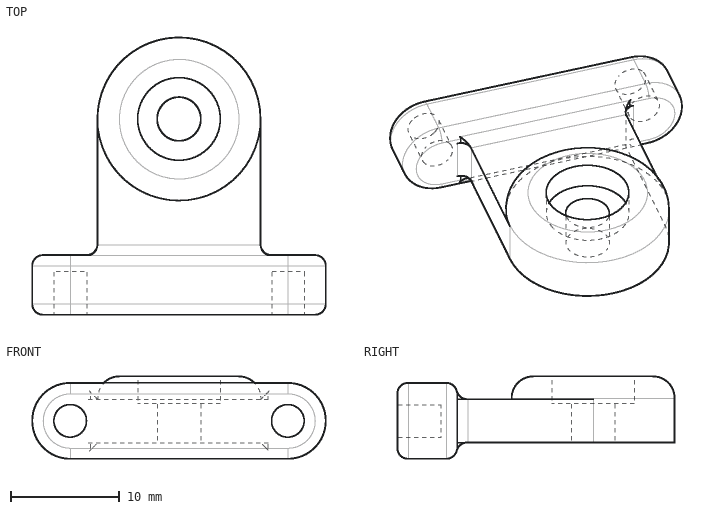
import cadquery as cq
import math

bar_length = 27.0
bar_height = 7.0
bar_depth = 5.5
bar_edge_radius = 1.0
pin_hole_diameter = 3.0
pin_hole_depth = 4.0
pin_hole_spacing = bar_length - bar_height

arm_thickness = 4.0
arm_bottom = (bar_height - arm_thickness) / 2
arm_root_radius = 1.0
arm_overlap = bar_depth / 2

boss_diameter = 15.0
boss_height = 6.1
boss_edge_radius = 2.0
boss_center_y = 18.0
screw_hole_diameter = 4.0
counterbore_diameter = 7.6
counterbore_depth = 2.5

selection_margin = 0.5


def make_bar():
    """Rounded-end bar with both rims rounded."""
    bar = (
        cq.Workplane("XZ", origin=(0, 0, bar_height / 2))
        .slot2D(bar_length, bar_height)
        .extrude(-bar_depth)
    )
    return bar.faces("<Y or >Y").edges().fillet(bar_edge_radius)


def make_arm():
    """Plate as wide as the boss, running from inside the bar to the boss axis."""
    return (
        cq.Workplane("XY")
        .box(boss_diameter, boss_center_y - arm_overlap, arm_thickness, centered=(True, False, False))
        .translate((0, arm_overlap, arm_bottom))
    )


def root_edges_at(root_y):
    """Selector for the edges where the arm meets an upright plane at root_y."""
    half_width = boss_diameter / 2 + selection_margin
    return cq.selectors.BoxSelector(
        (-half_width, root_y - selection_margin, arm_bottom - selection_margin),
        (half_width, root_y + selection_margin, arm_bottom + arm_thickness + selection_margin),
    )


def blend_arm_sides(body):
    """Round the two upright inside corners between the arm and the bar's back face."""
    return body.edges(root_edges_at(bar_depth)).edges("|Z").fillet(arm_root_radius)


def make_root_collar():
    """Blend around the arm root whose upper and lower arcs run tangent into the bar's rounded rim.

    The arc centre lies outside the rim by the sum of both radii, which fixes its Y position.
    """
    rim_center_y = bar_depth - bar_edge_radius
    rim_center_z = bar_height - bar_edge_radius
    arc_center_z = arm_bottom + arm_thickness + arm_root_radius
    center_distance = bar_edge_radius + arm_root_radius
    center_rise = arc_center_z - rim_center_z
    arc_center_y = rim_center_y + math.sqrt(center_distance**2 - center_rise**2)
    foot_y = arc_center_y - arm_root_radius
    contact_z = rim_center_z + center_rise * bar_edge_radius / center_distance

    pad = (
        cq.Workplane("XY")
        .box(bar_length, foot_y - arm_overlap, bar_height, centered=(True, False, False))
        .translate((0, arm_overlap, 0))
    )
    collar = pad.union(make_arm()).edges(root_edges_at(foot_y)).fillet(arm_root_radius)

    keep_width = boss_diameter + 2 * arm_root_radius
    keep_height = 2 * contact_z - bar_height
    keep_zone = (
        cq.Workplane("XY")
        .box(keep_width, boss_center_y, keep_height, centered=(True, False, True))
        .translate((0, arm_overlap, bar_height / 2))
    )
    return collar.intersect(keep_zone)


def make_boss():
    """Round head standing on the underside level of the arm, with a rounded top rim."""
    return (
        cq.Workplane("XY", origin=(0, boss_center_y, arm_bottom))
        .circle(boss_diameter / 2)
        .extrude(boss_height)
        .faces(">Z")
        .edges()
        .fillet(boss_edge_radius)
    )


def cut_screw_hole(body):
    """Through hole on the boss axis, counterbored from the top."""
    boss_top = arm_bottom + boss_height
    return (
        body.copyWorkplane(cq.Workplane("XY", origin=(0, boss_center_y, boss_top)))
        .cboreHole(screw_hole_diameter, counterbore_diameter, counterbore_depth)
    )


def cut_pin_holes(body):
    """Blind holes in the bar's front face, on the axes of its rounded ends."""
    pins = (
        cq.Workplane("XZ", origin=(0, 0, bar_height / 2))
        .rarray(pin_hole_spacing, 1, 2, 1)
        .circle(pin_hole_diameter / 2)
        .extrude(-pin_hole_depth)
    )
    return body.cut(pins)


bracket = blend_arm_sides(make_bar().union(make_arm()))
bracket = bracket.union(make_root_collar())
bracket = bracket.union(make_boss())
bracket = cut_screw_hole(bracket)
result = cut_pin_holes(bracket)